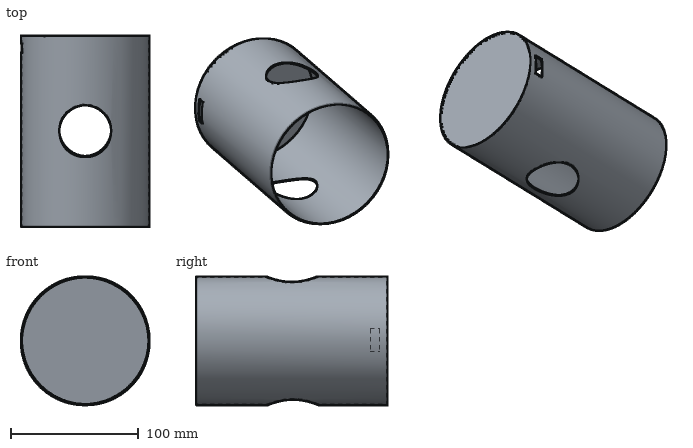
import cadquery as cq
import math

length = 150.0
outer_diameter = 101.0
bore_diameter = 99.0
outer_radius = outer_diameter / 2
bore_radius = bore_diameter / 2
wall = outer_radius - bore_radius
open_end = -length / 2
closed_end = length / 2

hole_diameter = 40.5
upper_hole_y = 0.0
lower_hole_y = 1.0

window_length = 7.0
window_height = 18.0
window_end_gap = 6.5
window_z = 0.8


def cup():
    """Revolved shell whose open rim is rounded over the full wall thickness."""
    rim_start = open_end + wall
    rim_middle = (
        bore_radius + wall * math.cos(math.pi / 4),
        rim_start - wall * math.sin(math.pi / 4),
    )
    return (
        cq.Workplane("XY")
        .moveTo(bore_radius, open_end)
        .threePointArc(rim_middle, (outer_radius, rim_start))
        .lineTo(outer_radius, closed_end)
        .lineTo(0, closed_end)
        .lineTo(0, closed_end - wall)
        .lineTo(bore_radius, closed_end - wall)
        .close()
        .revolve(360, (0, 0, 0), (0, 1, 0))
    )


def wall_hole(y, direction):
    """Cutter from the cup axis out through one wall; direction is +1 for +Z, -1 for -Z."""
    return (
        cq.Workplane("XY", origin=(0, y, 0))
        .circle(hole_diameter / 2)
        .extrude(direction * outer_diameter)
    )


def window():
    """Cutter from the cup axis out through the -X wall."""
    center_y = closed_end - window_end_gap - window_length / 2
    return (
        cq.Workplane("YZ", origin=(0, center_y, window_z))
        .rect(window_length, window_height)
        .extrude(-outer_diameter)
    )


result = (
    cup()
    .cut(wall_hole(upper_hole_y, 1))
    .cut(wall_hole(lower_hole_y, -1))
    .cut(window())
)